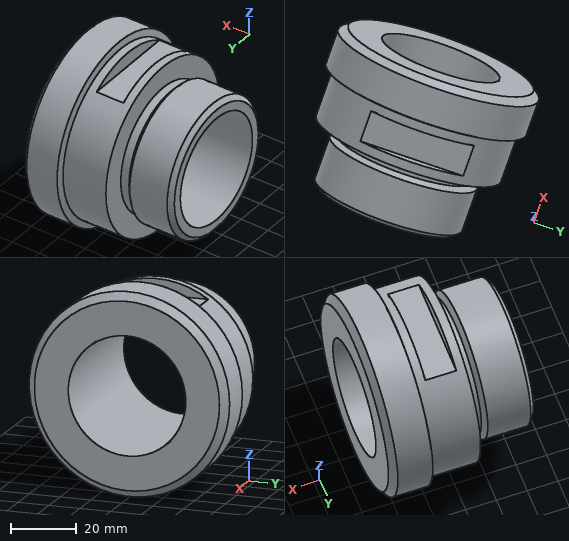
import cadquery as cq

total_length = 50.0
groove_start = 15.5
body_start = 20.0
collar_start = 36.0

bore_diameter = 38.0
groove_diameter = 44.3
spigot_diameter = 47.8
body_diameter = 60.0
collar_diameter = 65.0

spigot_bevel = 1.5
collar_front_bevel_length = 0.45
collar_back_bevel_length = 2.15

flat_start = 23.0
flat_width = 10.0
across_flats = 50.0

groove_radius = groove_diameter / 2
spigot_radius = spigot_diameter / 2
body_radius = body_diameter / 2
collar_radius = collar_diameter / 2


def turned_body():
    """Stepped outer shape, revolved about the X axis."""
    outline = [
        (0, 0),
        (0, groove_radius),
        (spigot_bevel, spigot_radius),
        (groove_start, spigot_radius),
        (groove_start + spigot_bevel, groove_radius),
        (body_start, groove_radius),
        (body_start, body_radius),
        (collar_start, body_radius),
        (collar_start + collar_front_bevel_length, collar_radius),
        (total_length - collar_back_bevel_length, collar_radius),
        (total_length, body_radius),
        (total_length, 0),
    ]
    return cq.Workplane("XY").polyline(outline).close().revolve(360, (0, 0, 0), (1, 0, 0))


def bore():
    """Straight through hole along the X axis."""
    return cq.Workplane("YZ").circle(bore_diameter / 2).extrude(total_length)


def flat_cutter(side):
    """Block that cuts a wrench flat on the +Z (side=1) or -Z (side=-1) face."""
    depth = collar_radius - across_flats / 2
    center_x = flat_start + flat_width / 2
    center_z = side * (across_flats / 2 + depth / 2)
    return cq.Workplane("XY").box(flat_width, collar_diameter, depth).translate((center_x, 0, center_z))


result = turned_body().cut(bore())
for side in (1, -1):
    result = result.cut(flat_cutter(side))